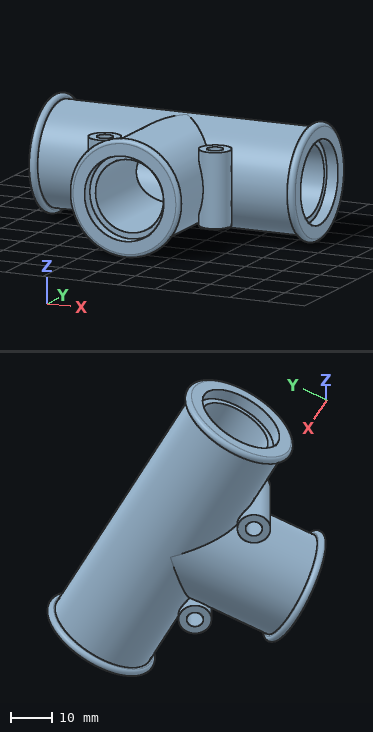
import cadquery as cq

run_length = 71.0
branch_length = 35.25
tube_diameter = 26.6
bore_diameter = 18.2
socket_diameter = 21.2
socket_depth = 3.0
collar_diameter = 29.5
collar_width = 2.0
collar_edge_radius = collar_width / 2

boss_diameter = 8.0
boss_hole_diameter = 4.0
boss_height = 19.0
boss_offset_x = 14.75
boss_offset_y = 15.0

half_run = run_length / 2
LEFT, RIGHT, FRONT = (-1, 0, 0), (1, 0, 0), (0, -1, 0)
ARMS = [(LEFT, half_run), (RIGHT, half_run), (FRONT, branch_length)]


def cylinder(direction, diameter, start, length):
    """Cylinder along a direction, starting at a distance from the tee centre."""
    origin = cq.Vector(*direction) * start
    plane = cq.Plane(origin=origin.toTuple(), xDir=(0, 0, 1), normal=direction)
    return cq.Workplane(plane).circle(diameter / 2).extrude(length)


def collar(direction, arm_length):
    """Disc with a fully rounded rim around the open end of an arm."""
    rim_radius = collar_diameter / 2
    flat_radius = rim_radius - collar_edge_radius
    inner_face = arm_length - collar_width
    rim_position = arm_length - collar_edge_radius
    half_section = (
        cq.Workplane(cq.Plane(origin=(0, 0, 0), xDir=direction, normal=(0, 0, 1)))
        .moveTo(inner_face, 0)
        .lineTo(inner_face, flat_radius)
        .threePointArc((rim_position, rim_radius), (arm_length, flat_radius))
        .lineTo(arm_length, 0)
        .close()
    )
    return half_section.revolve(360, (0, 0, 0), (1, 0, 0))


def run_cylinder(diameter):
    return cylinder(RIGHT, diameter, -half_run, run_length)


def branch_cylinder(diameter):
    return cylinder(FRONT, diameter, 0, branch_length)


def boss_cylinders(diameter):
    """Two vertical cylinders on the boss axes, centred on Z = 0."""
    centers = [(-boss_offset_x, -boss_offset_y), (boss_offset_x, -boss_offset_y)]
    base = cq.Workplane("XY", origin=(0, 0, -boss_height / 2))
    return base.pushPoints(centers).circle(diameter / 2).extrude(boss_height)


body = run_cylinder(tube_diameter).union(branch_cylinder(tube_diameter))
body = body.union(boss_cylinders(boss_diameter))
for arm_direction, arm_length in ARMS:
    body = body.union(collar(arm_direction, arm_length))

body = body.cut(run_cylinder(bore_diameter)).cut(branch_cylinder(bore_diameter))
for arm_direction, arm_length in ARMS:
    socket = cylinder(arm_direction, socket_diameter, arm_length - socket_depth, socket_depth)
    body = body.cut(socket)
body = body.cut(boss_cylinders(boss_hole_diameter))

result = body